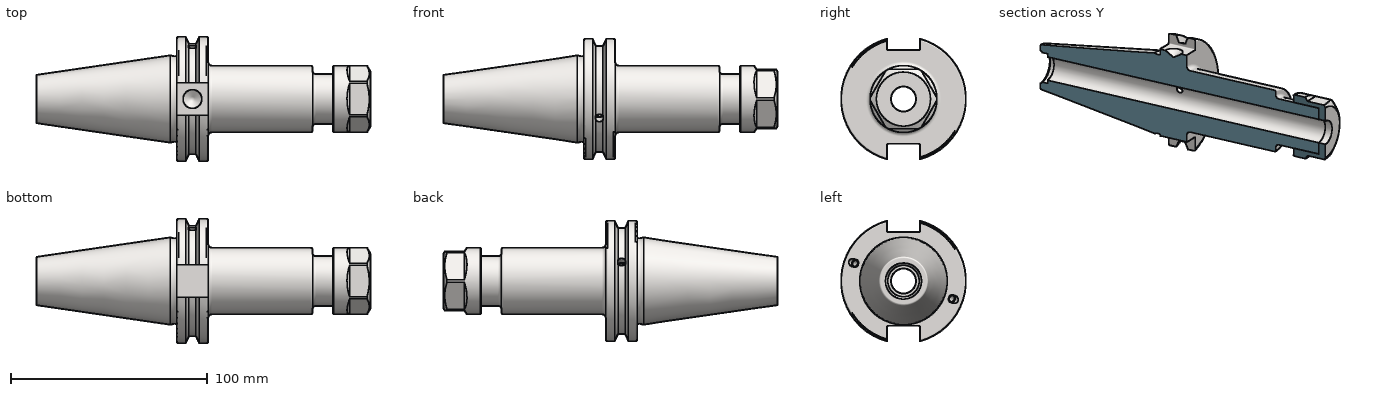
import cadquery as cq
import math

OVERALL_LENGTH = 169.8

TAPER_END_DIAMETER = 24.6
TAPER_LARGE_DIAMETER = 44.5
TAPER_LENGTH = 68.1
TAPER_END_FILLET = 0.8
RELIEF_DIAMETER = 43.7
RELIEF_START = 69.6
RELIEF_FILLET = 0.5

FLANGE_START = 71.3
FLANGE_WIDTH = 16.0
FLANGE_END = FLANGE_START + FLANGE_WIDTH
FLANGE_DIAMETER = 63.5
FLANGE_FILLET = 1.0
GROOVE_CENTER = 79.3
GROOVE_FLOOR_WIDTH = 3.5
GROOVE_FLOOR_DIAMETER = 56.4
GROOVE_WALL_ANGLE = 26.0

SLOT_WIDTH = 16.6
UPPER_SLOT_HEIGHT = 25.0
LOWER_SLOT_HEIGHT = 22.8
SLOT_FILLET = 0.5
DIMPLE_DIAMETER = 9.5
DIMPLE_POINT_ANGLE = 120.0

COOLANT_ANGLE = 20.0
COOLANT_FACE_RADIUS = 27.0
CHANNEL_DIAMETER = 3.2
FACE_SEAT_DIAMETER = 4.0
FACE_SEAT_DEPTH = 1.5
FACE_HOLE_TILT = 36.0
GROOVE_SEAT_DIAMETER = 4.0
GROOVE_HOLE_STEP_RADIUS = 21.5

SLEEVE_DIAMETER = 34.0
SLEEVE_ROOT_FILLET = 2.0
SLEEVE_END = 140.3
SLEEVE_END_FILLET = 1.0
NECK_DIAMETER = 25.5
NECK_ROOT_FILLET = 1.7
NUT_LIP_THICKNESS = 4.0
NECK_END = OVERALL_LENGTH - NUT_LIP_THICKNESS

BORE_DIAMETER = 12.5
MOUTH_DIAMETER = 18.3
COUNTERBORE_DIAMETER = 16.0
COUNTERBORE_DEPTH = 4.5

NUT_START = 150.7
NUT_DIAMETER = 34.0
NUT_BACK_CHAMFER = 0.5
NUT_FRONT_CHAMFER_LENGTH = 1.9
NUT_FRONT_CHAMFER_ANGLE = 30.0
HEX_ACROSS_FLATS = 30.0
HEX_START = 159.1
HEX_RAMP_LENGTH = 1.4
HEX_SIDES = 6

EDGE_TOLERANCE = 0.02


def x_cylinder(diameter, start, end):
    """Cylinder on the X axis between two X positions."""
    return cq.Workplane("YZ", origin=(start, 0, 0)).circle(diameter / 2).extrude(end - start)


def turned(points):
    """Solid turned about the X axis from (x, radius) points; the outline closes along the axis."""
    start_x = points[0][0]
    end_x = points[-1][0]
    outline = [(start_x, 0), *points, (end_x, 0)]
    return cq.Workplane("XY").polyline(outline).close().revolve(360, (0, 0, 0), (1, 0, 0))


def box_selector(x, radius):
    """Selector for the edges inside a thin box, square around the X axis, at one X position."""
    return cq.selectors.BoxSelector(
        (x - EDGE_TOLERANCE, -radius, -radius),
        (x + EDGE_TOLERANCE, radius, radius),
        boundingbox=True,
    )


def fillet_ring(body, x, radius, fillet):
    """Fillet the circular edge that lies at this X position and radius."""
    within_ring = box_selector(x, radius + EDGE_TOLERANCE)
    inside_ring = box_selector(x, radius - EDGE_TOLERANCE)
    return body.edges(within_ring - inside_ring).fillet(fillet)


def holder_blank():
    """Turned outside of the holder, from the small taper end to the neck tip."""
    taper_end = TAPER_END_DIAMETER / 2
    relief = RELIEF_DIAMETER / 2
    rim = FLANGE_DIAMETER / 2
    sleeve = SLEEVE_DIAMETER / 2
    neck = NECK_DIAMETER / 2
    groove_floor = GROOVE_FLOOR_DIAMETER / 2
    groove_floor_half = GROOVE_FLOOR_WIDTH / 2
    groove_top_half = groove_floor_half + (rim - groove_floor) * math.tan(math.radians(GROOVE_WALL_ANGLE))

    body = turned([
        (0, taper_end),
        (TAPER_LENGTH, TAPER_LARGE_DIAMETER / 2),
        (RELIEF_START, relief),
        (FLANGE_START, relief),
        (FLANGE_START, rim),
        (GROOVE_CENTER - groove_top_half, rim),
        (GROOVE_CENTER - groove_floor_half, groove_floor),
        (GROOVE_CENTER + groove_floor_half, groove_floor),
        (GROOVE_CENTER + groove_top_half, rim),
        (FLANGE_END, rim),
        (FLANGE_END, sleeve),
        (SLEEVE_END, sleeve),
        (SLEEVE_END, neck),
        (NECK_END, neck),
    ])
    body = fillet_ring(body, 0, taper_end, TAPER_END_FILLET)
    body = fillet_ring(body, FLANGE_START, relief, RELIEF_FILLET)
    body = fillet_ring(body, FLANGE_START, rim, FLANGE_FILLET)
    body = fillet_ring(body, FLANGE_END, rim, FLANGE_FILLET)
    body = fillet_ring(body, FLANGE_END, sleeve, SLEEVE_ROOT_FILLET)
    body = fillet_ring(body, SLEEVE_END, sleeve, SLEEVE_END_FILLET)
    return fillet_ring(body, SLEEVE_END, neck, NECK_ROOT_FILLET)


def drive_slot(floor_height, side):
    """Slot cutter across the flange; side is +1 for the upper slot and -1 for the lower one."""
    height = FLANGE_DIAMETER / 2
    center_z = side * (floor_height + height / 2)
    floor_edges = "<Z" if side > 0 else ">Z"
    return (
        cq.Workplane("XY")
        .box(FLANGE_WIDTH, SLOT_WIDTH, height)
        .faces(floor_edges)
        .edges("|X")
        .fillet(SLOT_FILLET)
        .translate((FLANGE_START + FLANGE_WIDTH / 2, 0, center_z))
    )


def dimple():
    """Cone sunk into the floor of the upper slot."""
    radius = DIMPLE_DIAMETER / 2
    depth = radius / math.tan(math.radians(DIMPLE_POINT_ANGLE / 2))
    cone = cq.Solid.makeCone(
        radius, 0, depth, cq.Vector(GROOVE_CENTER, 0, UPPER_SLOT_HEIGHT), cq.Vector(0, 0, -1)
    )
    return cq.Workplane(cone)


def rod(diameter, start, end):
    """Cylinder between two points."""
    axis = end - start
    return cq.Workplane(cq.Solid.makeCylinder(diameter / 2, axis.Length, start, axis))


def coolant_holes(turn):
    """Stepped face and groove holes that meet in one plane, turned about X from the +Y side."""
    mouth = cq.Vector(FLANGE_START, COOLANT_FACE_RADIUS, 0)
    tilt = math.radians(FACE_HOLE_TILT)
    inward = cq.Vector(math.cos(tilt), -math.sin(tilt), 0)
    meeting_depth = (GROOVE_CENTER - FLANGE_START) / math.cos(tilt)
    meeting_point = mouth + inward * meeting_depth
    groove_mouth = cq.Vector(GROOVE_CENTER, FLANGE_DIAMETER / 2, 0)
    groove_step = cq.Vector(GROOVE_CENTER, GROOVE_HOLE_STEP_RADIUS, 0)

    face_seat = rod(FACE_SEAT_DIAMETER, mouth - inward * FACE_SEAT_DIAMETER, mouth + inward * FACE_SEAT_DEPTH)
    face_channel = rod(CHANNEL_DIAMETER, mouth, meeting_point)
    groove_seat = rod(GROOVE_SEAT_DIAMETER, groove_step, groove_mouth)
    groove_channel = rod(CHANNEL_DIAMETER, cq.Vector(GROOVE_CENTER, 0, 0), groove_mouth)
    holes = face_seat.union(face_channel).union(groove_seat).union(groove_channel)
    return holes.rotate((0, 0, 0), (1, 0, 0), turn)


def holder_bore():
    """Through bore with a counterbore and a 45 degree countersink at the taper end."""
    bore = BORE_DIAMETER / 2
    counterbore = COUNTERBORE_DIAMETER / 2
    mouth = MOUTH_DIAMETER / 2
    return turned([
        (0, mouth),
        (mouth - counterbore, counterbore),
        (COUNTERBORE_DEPTH, counterbore),
        (COUNTERBORE_DEPTH, bore),
        (NECK_END, bore),
    ])


def make_holder():
    body = holder_blank()
    body = body.cut(drive_slot(UPPER_SLOT_HEIGHT, 1))
    body = body.cut(drive_slot(LOWER_SLOT_HEIGHT, -1))
    body = body.cut(dimple())
    for half_turn in (0, 180):
        body = body.cut(coolant_holes(COOLANT_ANGLE + half_turn))
    return body.cut(holder_bore())


def nut_blank():
    """Turned outside of the nut, chamfered at both ends."""
    radius = NUT_DIAMETER / 2
    front_drop = NUT_FRONT_CHAMFER_LENGTH / math.tan(math.radians(NUT_FRONT_CHAMFER_ANGLE))
    return turned([
        (NUT_START, radius - NUT_BACK_CHAMFER),
        (NUT_START + NUT_BACK_CHAMFER, radius),
        (OVERALL_LENGTH - NUT_FRONT_CHAMFER_LENGTH, radius),
        (OVERALL_LENGTH, radius - front_drop),
    ])


def hex_flat():
    """Cutter for the upper wrench flat, with a ramp rising to the round collar."""
    flat = HEX_ACROSS_FLATS / 2
    rim = NUT_DIAMETER / 2
    return (
        cq.Workplane("XZ")
        .moveTo(HEX_START, flat)
        .lineTo(OVERALL_LENGTH, flat)
        .lineTo(OVERALL_LENGTH, rim)
        .lineTo(HEX_START - HEX_RAMP_LENGTH, rim)
        .close()
        .extrude(rim, both=True)
    )


def make_nut():
    body = nut_blank()
    for side in range(HEX_SIDES):
        body = body.cut(hex_flat().rotate((0, 0, 0), (1, 0, 0), side * 360 / HEX_SIDES))
    body = body.cut(x_cylinder(NECK_DIAMETER, NUT_START, NECK_END))
    return body.cut(x_cylinder(BORE_DIAMETER, NECK_END, OVERALL_LENGTH))


holder = make_holder()
nut = make_nut()

result = cq.Compound.makeCompound([holder.val(), nut.val()])